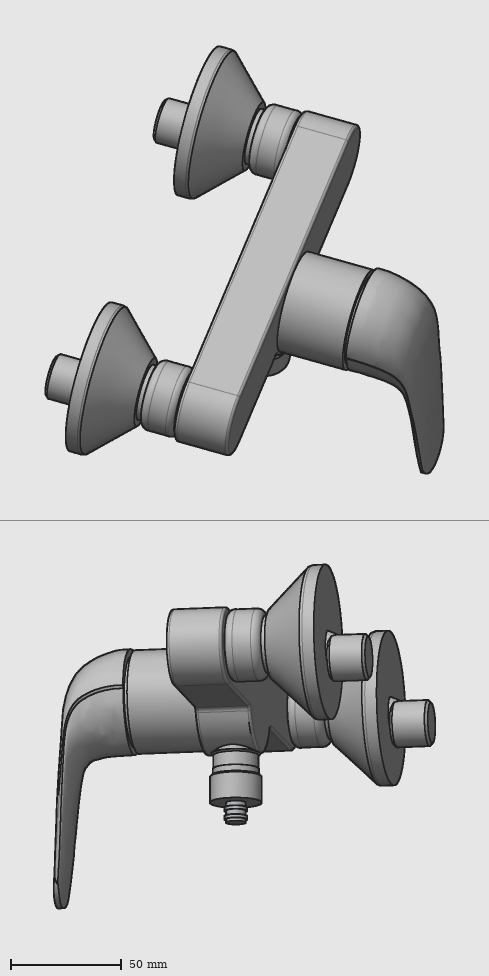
import cadquery as cq
import math


inlet_spacing = 150.0
pin_radius = 10.5
pin_drop = 7.6
pin_length = 17.5
pin_chamfer = 1.3
link_radius = 7.0
link_slope = math.radians(25)
flange_x = 18.6
flange_radius = 35.0
flange_rim = 5.5
flange_bevel_length = 1.3
flange_bevel_depth = 0.4
cone_end_x = 44.8
cone_end_radius = 16.0
neck_radius = 13.0
nut_x = 47.1
nut_end_x = 63.4
nut_radius = 16.4
nut_back_round = 4.2
nut_back_radius = 13.4
nut_front_round = 3.6
nut_front_radius = 14.9
seat_radius = 11.0

body_x = 64.3
body_depth = 25.5
body_half_height = 17.5
belly_radius = 25.5
belly_blend = 3.0
body_edge_round = 1.3

barrel_axis_z = -8.5
barrel_radius = 23.5
barrel_end_x = 121.0
gap_radius = 20.7

outlet_x = 75.5
outlet_radius = 10.3
outlet_base_radius = 10.5
outlet_base_z = -41.1
outlet_collar_radius = 11.2
outlet_collar_z = -34.0
outlet_collar_height = 0.9
coupling_top_z = -44.0
coupling_bottom_z = -56.6
coupling_radius = 11.7
coupling_chamfer = 0.8
spigot_radius = 4.5
spigot_bottom_z = -65.8
spigot_rib_radius = 5.15
spigot_rib_height = 1.6
spigot_rib_tops_z = (-58.8, -62.8)

handle_x = 122.8
handle_radius = 24.0
handle_tip_z = -101.9
handle_tip_radius = 14.8
rim_shift = 0.1
rim_band = 1.4
rim_step = 0.7
lever_sections = (
    ((131.5, 14.6), (131.0, -32.7), 23.8),
    ((141.0, 10.6), (137.5, -33.3), 23.0),
    ((148.4, 3.8), (142.2, -34.6), 22.1),
    ((153.3, -12.5), (146.2, -38.2), 20.8),
    ((155.2, -42.0), (148.8, -50.0), 18.5),
    ((156.4, -66.5), (150.4, -66.5), 16.7),
    ((157.65, -102.0), (155.2, -102.0), 12.7),
)

body_end_x = body_x + body_depth


def x_cylinder(radius, x_start, x_end, z):
    """Cylinder along X between two stations."""
    base = cq.Workplane("YZ", origin=(x_start, 0, z))
    return base.circle(radius).extrude(x_end - x_start)


def z_cylinder(radius, z_top, z_bottom):
    """Cylinder on the outlet axis between two heights."""
    base = cq.Workplane("XY", origin=(outlet_x, 0, z_bottom))
    return base.circle(radius).extrude(z_top - z_bottom)


def make_pin():
    """Chamfered wall pin, set below the flange axis."""
    pin = x_cylinder(pin_radius, 0, pin_length, z=-pin_drop)
    return pin.edges().chamfer(pin_chamfer)


def make_link():
    """Slanted cylinder joining the offset pin to the flange axis."""
    run = pin_drop / math.tan(link_slope)
    length = pin_drop / math.sin(link_slope)
    end_x = flange_x + flange_rim
    plane = cq.Plane(
        origin=(end_x - run, 0, -pin_drop),
        xDir=(0, 1, 0),
        normal=(math.cos(link_slope), 0, math.sin(link_slope)),
    )
    return cq.Workplane(plane).circle(link_radius).extrude(length)


def make_flange_and_nut():
    """Turned flange, neck, union nut and seat about the inlet axis."""
    rim_end_x = flange_x + flange_rim
    diagonal = math.sqrt(0.5)
    back_rise = nut_radius - nut_back_radius
    front_drop = nut_radius - nut_front_radius
    back_arc_x = nut_x + nut_back_round
    front_arc_x = nut_end_x - nut_front_round
    profile = (
        cq.Workplane("XY")
        .moveTo(flange_x, 0)
        .lineTo(flange_x, flange_radius)
        .lineTo(rim_end_x, flange_radius)
        .lineTo(rim_end_x + flange_bevel_length, flange_radius - flange_bevel_depth)
        .lineTo(cone_end_x, cone_end_radius)
        .lineTo(cone_end_x, neck_radius)
        .lineTo(nut_x, neck_radius)
        .lineTo(nut_x, nut_back_radius)
        .threePointArc(
            (back_arc_x - nut_back_round * diagonal, nut_back_radius + back_rise * diagonal),
            (back_arc_x, nut_radius),
        )
        .lineTo(front_arc_x, nut_radius)
        .threePointArc(
            (front_arc_x + nut_front_round * diagonal, nut_front_radius + front_drop * diagonal),
            (nut_end_x, nut_front_radius),
        )
        .lineTo(nut_end_x, seat_radius)
        .lineTo(body_x, seat_radius)
        .lineTo(body_x, 0)
        .close()
    )
    return profile.revolve(360, (0, 0, 0), (1, 0, 0))


def make_inlet():
    """Complete wall connection on the Y = 0 plane."""
    return make_flange_and_nut().union(make_link()).union(make_pin())


def make_body():
    """Round-ended bar merged with the belly, with rounded front and back edges."""
    bar = (
        cq.Workplane("YZ", origin=(body_x, 0, 0))
        .slot2D(inlet_spacing + 2 * body_half_height, 2 * body_half_height)
        .extrude(body_depth)
    )
    belly = x_cylinder(belly_radius, body_x, body_end_x, z=barrel_axis_z)
    body = bar.union(belly)
    corner_y = math.sqrt(belly_radius**2 - (body_half_height + barrel_axis_z) ** 2)
    for side in (-1, 1):
        corner = (body_x + body_depth / 2, side * corner_y, -body_half_height)
        body = body.edges(cq.NearestToPointSelector(corner)).fillet(belly_blend)
    return body.faces("<X or >X").edges().fillet(body_edge_round)


def make_barrel():
    """Cartridge barrel and the narrower gap ring behind the handle."""
    barrel = x_cylinder(barrel_radius, body_end_x - body_edge_round, barrel_end_x, z=barrel_axis_z)
    gap = x_cylinder(gap_radius, barrel_end_x, handle_x, z=barrel_axis_z)
    return barrel.union(gap)


def make_outlet():
    """Neck, coupling nut and ribbed hose spigot below the belly."""
    outlet = z_cylinder(outlet_radius, barrel_axis_z, coupling_top_z)
    base = z_cylinder(outlet_base_radius, outlet_base_z, coupling_top_z)
    collar = cq.Solid.makeCone(
        outlet_collar_radius,
        outlet_radius,
        outlet_collar_height,
        cq.Vector(outlet_x, 0, outlet_collar_z),
        cq.Vector(0, 0, -1),
    )
    coupling = z_cylinder(coupling_radius, coupling_top_z, coupling_bottom_z)
    coupling = coupling.faces(">Z").edges().chamfer(coupling_chamfer)
    spigot = z_cylinder(spigot_radius, coupling_bottom_z, spigot_bottom_z)
    outlet = outlet.union(base).union(cq.Workplane(collar)).union(coupling).union(spigot)
    for top_z in spigot_rib_tops_z:
        outlet = outlet.union(z_cylinder(spigot_rib_radius, top_z, top_z - spigot_rib_height))
    return outlet


def lever_section(outer, inner, half_width):
    """Closed section spanning two profile points: outer dome, slanted rim bands, inner dome."""
    rise_x = outer[0] - inner[0]
    rise_z = outer[1] - inner[1]
    plane = cq.Plane(
        origin=((outer[0] + inner[0]) / 2, 0, (outer[1] + inner[1]) / 2),
        xDir=(0, 1, 0),
        normal=(rise_z, 0, -rise_x),
    )
    half_height = math.hypot(rise_x, rise_z) / 2
    rim_top = half_height * rim_shift + rim_band / 2
    rim_bottom = rim_top - rim_band
    inner_half_width = half_width - rim_step
    section = (
        cq.Workplane(plane)
        .moveTo(half_width, rim_top)
        .ellipseArc(half_width, half_height - rim_top, 0, 180)
        .lineTo(-inner_half_width, rim_bottom)
        .ellipseArc(inner_half_width, half_height + rim_bottom, 180, 360)
        .close()
    )
    return section.val()


def make_handle():
    """Lofted lever, trimmed to a half-round tip."""
    root_outer = (handle_x, barrel_axis_z + handle_radius)
    root_inner = (handle_x, barrel_axis_z - handle_radius)
    sections = [lever_section(root_outer, root_inner, handle_radius)]
    for outer, inner, half_width in lever_sections:
        sections.append(lever_section(outer, inner, half_width))
    blade = cq.occ_impl.shapes.loft(*sections, cap=True, continuity="C1", parametrization="chordal")
    lever = cq.Workplane(blade)
    tip_center_z = handle_tip_z + handle_tip_radius
    trim_size = 2 * handle_radius
    top_z = barrel_axis_z + trim_size
    trim = (
        cq.Workplane("YZ", origin=(handle_x, 0, 0))
        .moveTo(-handle_tip_radius, tip_center_z)
        .threePointArc((0, handle_tip_z), (handle_tip_radius, tip_center_z))
        .lineTo(trim_size, tip_center_z)
        .lineTo(trim_size, top_z)
        .lineTo(-trim_size, top_z)
        .lineTo(-trim_size, tip_center_z)
        .close()
        .extrude(trim_size)
    )
    return lever.intersect(trim)


inlet = make_inlet()
result = make_body().union(make_barrel()).union(make_outlet()).union(make_handle())
for side in (-1, 1):
    result = result.union(inlet.translate((0, side * inlet_spacing / 2, 0)))